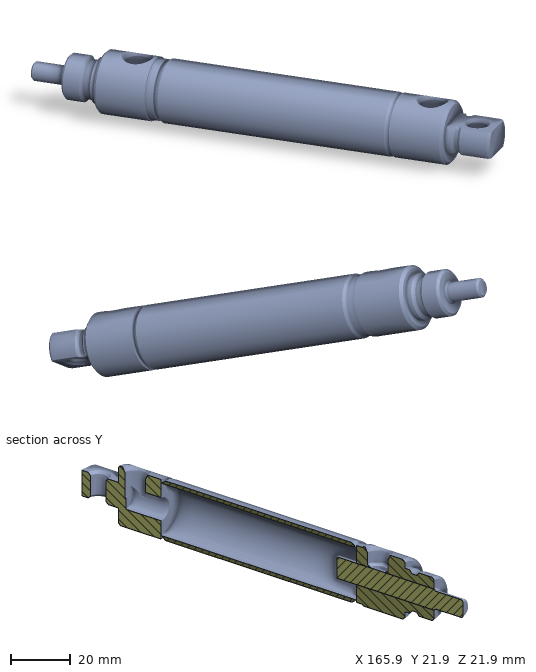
import cadquery as cq
import math


total_length = 165.9
body_diameter = 21.9
mount_diameter = 16.0
end_chamfer = 1.0
mount_chamfer = 0.8

body_radius = body_diameter / 2
mount_radius = mount_diameter / 2

nose_start = 12.6
head_start = 25.2
skirt_start = 43.8
tube_start = 46.6
cap_start = 131.2
tang_start = 150.1

rod_diameter = 8.0
stub_diameter = 6.6
stub_chamfer = 0.7
rod_overrun = 8.3

rod_radius = rod_diameter / 2
stub_radius = stub_diameter / 2
shoulder_chamfer = rod_radius - stub_radius

skirt_diameter = 20.9
skirt_radius = skirt_diameter / 2

relief_depth = 1.2
relief_taper = 1.0
nose_relief_start = 19.2
nose_relief_floor = 2.0
tang_relief_start = 152.1
tang_relief_floor = 1.2

tube_bore_diameter = 18.9
bevel_length = 0.5
bevel_depth = 0.3
taper_length = 1.3
rolled_depth = 1.3

front_port_x = 37.2
rear_port_x = 142.7
port_diameter = 8.8
port_mouth_diameter = 11.0
port_mouth_half_angle = 30.0
drill_point_half_angle = 59.0
front_port_floor = 4.8
front_passage_diameter = 6.3

cap_bore_diameter = 8.3
cap_bore_end_past_port = 4.0
tang_thickness = 9.5
pivot_x = 158.8
pivot_diameter = 6.6
pivot_chamfer = 1.0


def turned(outline):
    """Solid turned around the X axis from (x, radius) points running from one end to the other."""
    closed = [(outline[0][0], 0)] + outline + [(outline[-1][0], 0)]
    return cq.Workplane("XY").polyline(closed).close().revolve(360, (0, 0, 0), (1, 0, 0))


def bar_along_x(start, end, diameter):
    """Round bar along the X axis, used to cut bores."""
    return cq.Workplane("YZ", origin=(start, 0, 0)).circle(diameter / 2).extrude(end - start)


def relief_outline(start, floor_length):
    """Points of a groove with sloping sides in a surface of the mounting radius."""
    floor_radius = mount_radius - relief_depth
    floor_start = start + relief_taper
    floor_end = floor_start + floor_length
    return [
        (start, mount_radius),
        (floor_start, floor_radius),
        (floor_end, floor_radius),
        (floor_end + relief_taper, mount_radius),
    ]


def drill_down(x, bottom, top, diameter):
    """Vertical cylinder used to cut a hole at a place along the axis."""
    return cq.Workplane("XY", origin=(x, 0, bottom)).circle(diameter / 2).extrude(top - bottom)


def cone_down(x, top, top_diameter, bottom_diameter, half_angle):
    """Vertical cone that narrows downward from the given height."""
    top_radius = top_diameter / 2
    bottom_radius = bottom_diameter / 2
    height = (top_radius - bottom_radius) / math.tan(math.radians(half_angle))
    cone = cq.Solid.makeCone(top_radius, bottom_radius, height, cq.Vector(x, 0, top), cq.Vector(0, 0, -1))
    return cq.Workplane(cone)


def port_cutter(x, bottom):
    """Port hole from the given height up through the top, with a countersunk mouth."""
    hole = drill_down(x, bottom, body_radius, port_diameter)
    mouth = cone_down(x, body_radius, port_mouth_diameter, port_diameter, port_mouth_half_angle)
    return hole.union(mouth)


def make_rod():
    return turned([
        (0, stub_radius - stub_chamfer),
        (stub_chamfer, stub_radius),
        (nose_start - shoulder_chamfer, stub_radius),
        (nose_start, rod_radius),
        (tube_start + rod_overrun, rod_radius),
    ])


def make_front_head():
    head = turned([
        (nose_start, mount_radius - mount_chamfer),
        (nose_start + mount_chamfer, mount_radius),
        *relief_outline(nose_relief_start, nose_relief_floor),
        (head_start, mount_radius),
        (head_start, body_radius - end_chamfer),
        (head_start + end_chamfer, body_radius),
        (skirt_start, body_radius),
        (skirt_start, skirt_radius),
        (tube_start, skirt_radius),
    ])
    drill_point = cone_down(
        front_port_x, front_port_floor, port_diameter, front_passage_diameter, drill_point_half_angle
    )
    return (
        head.cut(port_cutter(front_port_x, front_port_floor))
        .cut(drill_point)
        .cut(drill_down(front_port_x, 0, front_port_floor, front_passage_diameter))
        .cut(bar_along_x(nose_start, tube_start, rod_diameter))
    )


def make_tube():
    end_radius = body_radius - rolled_depth
    bevel_radius = body_radius - bevel_depth
    rolled_length = taper_length + bevel_length
    tube = turned([
        (tube_start, end_radius),
        (tube_start + taper_length, bevel_radius),
        (tube_start + rolled_length, body_radius),
        (cap_start - rolled_length, body_radius),
        (cap_start - taper_length, bevel_radius),
        (cap_start, end_radius),
    ])
    return tube.cut(bar_along_x(tube_start, cap_start, tube_bore_diameter))


def make_tang():
    """Round tang with a relief groove and two flats, drilled for a pivot pin."""
    tang = turned([
        (tang_start, mount_radius),
        *relief_outline(tang_relief_start, tang_relief_floor),
        (total_length - mount_chamfer, mount_radius),
        (total_length, mount_radius - mount_chamfer),
    ])
    slab_length = total_length - tang_start
    slab = cq.Workplane("XY", origin=(tang_start + slab_length / 2, 0, 0)).box(
        slab_length, mount_diameter, tang_thickness
    )
    pivot = (
        cq.Workplane("XY", origin=(pivot_x, 0, 0))
        .circle(pivot_diameter / 2)
        .extrude(tang_thickness / 2, both=True)
        .union(pivot_countersink(1))
        .union(pivot_countersink(-1))
    )
    return tang.intersect(slab).cut(pivot)


def pivot_countersink(side):
    """Cone at the upper (side = 1) or lower (side = -1) flat of the tang."""
    pivot_radius = pivot_diameter / 2
    mouth_center = cq.Vector(pivot_x, 0, side * tang_thickness / 2)
    inward = cq.Vector(0, 0, -side)
    return cq.Workplane(
        cq.Solid.makeCone(pivot_radius + pivot_chamfer, pivot_radius, pivot_chamfer, mouth_center, inward)
    )


def make_rear_cap():
    cap = turned([
        (cap_start, body_radius),
        (tang_start - end_chamfer, body_radius),
        (tang_start, body_radius - end_chamfer),
    ])
    bore = bar_along_x(cap_start, rear_port_x + cap_bore_end_past_port, cap_bore_diameter)
    return cap.union(make_tang()).cut(bore).cut(port_cutter(rear_port_x, 0))


rod = make_rod()
front_head = make_front_head()
tube = make_tube()
rear_cap = make_rear_cap()

result = cq.Compound.makeCompound([rod.val(), front_head.val(), tube.val(), rear_cap.val()])